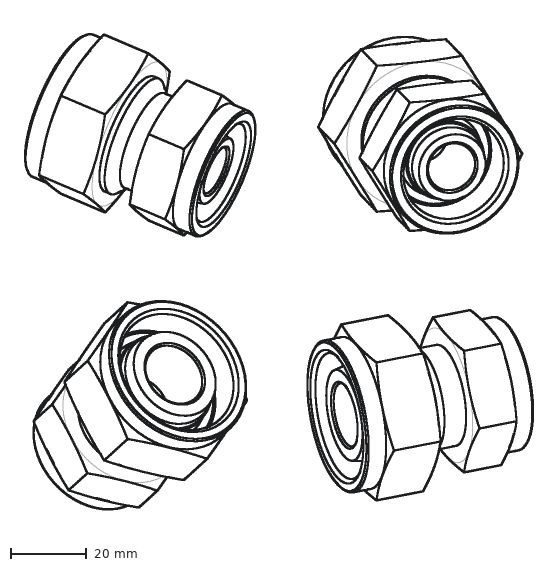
import cadquery as cq
import math

LENGTH = 48.8

LARGE_RADIUS = 16.5
NECK_RADIUS = 13.55
SHOULDER_END = 22.05
TAPER_END = 25.05

TIP_INSET = 2.15
FACE_INSET = 12.0
SHOULDER_WIDTH = 2.2
CONE_ANGLE = 12.0
GROOVE_START = 3.45
GROOVE_WIDTH = 3.0
GROOVE_DEPTH = 0.65
RIDGE_HEIGHT = 1.1

SMALL_BORE_RADIUS = 6.55
LARGE_BORE_RADIUS = 8.45
BORE_CHAMFER = 0.55
BORE_BOTTOM_ANGLE = 30.0

LARGE_NUT_FLATS = 41.0
LARGE_NUT_COLLAR_RADIUS = 20.4
LARGE_NUT_BACK = 20.5
SMALL_NUT_FLATS = 36.1
SMALL_NUT_COLLAR_RADIUS = 17.9
SMALL_NUT_BACK = 31.25
COLLAR_LENGTH = 5.45
COLLAR_CHAMFER = 0.5
HEX_SIDES = 6
HEX_CHAMFER_ANGLE = 15.0
MOUTH_CLEARANCE = 0.4
MOUTH_DEPTH = 11.3
MOUTH_CHAMFER = 1.02


def tangent(angle):
    return math.tan(math.radians(angle))


def revolved(profile):
    """Solid of revolution about X from (x, radius) points."""
    return cq.Workplane("XY").polyline(profile).close().revolve(360, (0, 0, 0), (1, 0, 0))


def mirrored(body):
    """The body turned end for end along the length of the assembly."""
    return body.mirror("YZ", (LENGTH / 2, 0, 0))


def cone_radius(x, shoulder_radius):
    """Radius of the sealing cone at distance x from the end of the assembly."""
    root_radius = shoulder_radius - SHOULDER_WIDTH
    return root_radius - (FACE_INSET - x) * tangent(CONE_ANGLE)


def sealing_tip(shoulder_radius):
    """Cone that ends at the shoulder face, with a rounded sealing ridge in a groove."""
    groove_start = TIP_INSET + GROOVE_START
    groove_end = groove_start + GROOVE_WIDTH
    ridge_foot = cone_radius(groove_start, shoulder_radius) - GROOVE_DEPTH
    ridge_top = (groove_start + GROOVE_WIDTH / 2, ridge_foot + RIDGE_HEIGHT)
    return (
        cq.Workplane("XY")
        .moveTo(TIP_INSET, 0)
        .lineTo(TIP_INSET, cone_radius(TIP_INSET, shoulder_radius))
        .lineTo(groove_start, cone_radius(groove_start, shoulder_radius))
        .lineTo(groove_start, ridge_foot)
        .threePointArc(ridge_top, (groove_end, ridge_foot))
        .lineTo(groove_end, cone_radius(groove_end, shoulder_radius))
        .lineTo(FACE_INSET, cone_radius(FACE_INSET, shoulder_radius))
        .lineTo(FACE_INSET, 0)
        .close()
        .revolve(360, (0, 0, 0), (1, 0, 0))
    )


def bore_entry(bore_radius):
    """Chamfered start of a bore at the tip of the large end, as a cutting cone."""
    outer_radius = bore_radius + BORE_CHAMFER
    return revolved([
        (TIP_INSET, 0),
        (TIP_INSET, outer_radius),
        (TIP_INSET + BORE_CHAMFER, bore_radius),
        (TIP_INSET + BORE_CHAMFER, 0),
    ])


def large_bore():
    """Wide bore with a conical bottom that runs into the narrow bore."""
    bottom_length = (LARGE_BORE_RADIUS - SMALL_BORE_RADIUS) * tangent(BORE_BOTTOM_ANGLE)
    return revolved([
        (TIP_INSET, 0),
        (TIP_INSET, LARGE_BORE_RADIUS),
        (SHOULDER_END, LARGE_BORE_RADIUS),
        (SHOULDER_END + bottom_length, SMALL_BORE_RADIUS),
        (SHOULDER_END + bottom_length, 0),
    ])


def make_connector():
    shank = revolved([
        (FACE_INSET, 0),
        (FACE_INSET, LARGE_RADIUS),
        (SHOULDER_END, LARGE_RADIUS),
        (TAPER_END, NECK_RADIUS),
        (LENGTH - FACE_INSET, NECK_RADIUS),
        (LENGTH - FACE_INSET, 0),
    ])
    outside = shank.union(sealing_tip(LARGE_RADIUS)).union(mirrored(sealing_tip(NECK_RADIUS)))
    through_bore = cq.Workplane("YZ").circle(SMALL_BORE_RADIUS).extrude(LENGTH)
    return (
        outside.cut(through_bore)
        .cut(large_bore())
        .cut(bore_entry(LARGE_BORE_RADIUS))
        .cut(mirrored(bore_entry(SMALL_BORE_RADIUS)))
    )


def chamfered_hexagon(flats, start, end):
    """Hexagon along X with flats facing up and down and both ends turned to a cone."""
    apothem = flats / 2
    corner_radius = apothem / math.cos(math.pi / HEX_SIDES)
    chamfer_length = (corner_radius - apothem) * tangent(HEX_CHAMFER_ANGLE)
    prism = (
        cq.Workplane("YZ").workplane(offset=start)
        .polygon(HEX_SIDES, 2 * corner_radius).extrude(end - start)
    )
    turned = revolved([
        (start, 0),
        (start, apothem),
        (start + chamfer_length, corner_radius),
        (end - chamfer_length, corner_radius),
        (end, apothem),
        (end, 0),
    ])
    return prism.intersect(turned)


def make_nut(flats, collar_radius, length, thread_radius):
    """Union nut whose open end is at X = 0; its bore fits the connector behind the mouth."""
    collar = (
        cq.Workplane("YZ").circle(collar_radius).extrude(COLLAR_LENGTH)
        .faces("<X").chamfer(COLLAR_CHAMFER)
    )
    mouth_radius = thread_radius + MOUTH_CLEARANCE
    opening = revolved([
        (0, 0),
        (0, mouth_radius + MOUTH_CHAMFER),
        (MOUTH_CHAMFER, mouth_radius),
        (MOUTH_DEPTH, mouth_radius),
        (MOUTH_DEPTH, thread_radius),
        (length, thread_radius),
        (length, 0),
    ])
    return collar.union(chamfered_hexagon(flats, COLLAR_LENGTH, length)).cut(opening)


connector = make_connector()
large_nut = make_nut(LARGE_NUT_FLATS, LARGE_NUT_COLLAR_RADIUS, LARGE_NUT_BACK, LARGE_RADIUS)
small_nut = mirrored(
    make_nut(SMALL_NUT_FLATS, SMALL_NUT_COLLAR_RADIUS, LENGTH - SMALL_NUT_BACK, NECK_RADIUS)
)

result = cq.Compound.makeCompound([connector.val(), large_nut.val(), small_nut.val()])